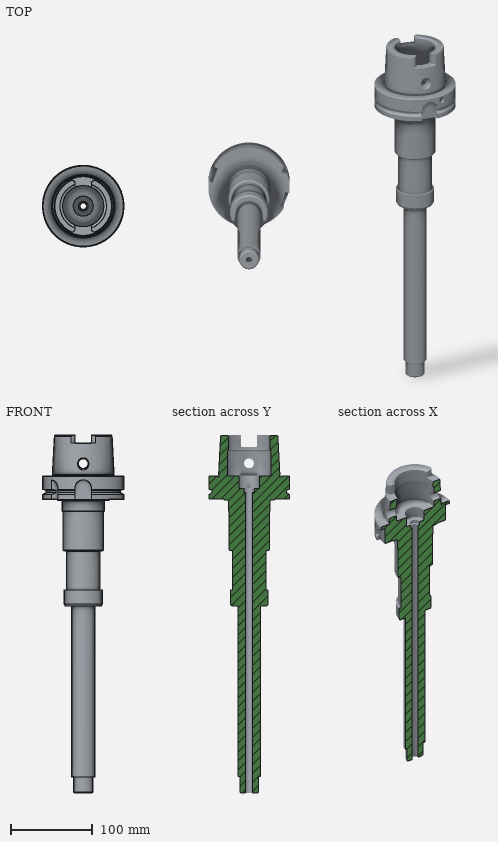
import cadquery as cq
import math


OVERALL_LENGTH = 439.5
TAPER_LENGTH = 50.0
BOTTOM_Z = TAPER_LENGTH - OVERALL_LENGTH

TAPER_BASE_RADIUS = 38.0
TAPER_RATE = 1 / 9.98
TAPER_TOP_RADIUS = TAPER_BASE_RADIUS - TAPER_LENGTH * TAPER_RATE / 2
TAPER_TOP_CHAMFER_HEIGHT = 1.7
TAPER_TOP_CHAMFER_WIDTH = 0.7
RELIEF_RADIUS = 39.0
RELIEF_DEPTH = 1.0
RELIEF_HEIGHT = 1.5
RELIEF_UNDERCUT = 0.8

FLANGE_RADIUS = 50.0
FLANGE_THICKNESS = 29.0
FLANGE_CHAMFER = 0.8
GROOVE_TOP_Z = -16.5
GROOVE_FLOOR_TOP_Z = -17.8
GROOVE_FLOOR_BOTTOM_Z = -20.6
GROOVE_BOTTOM_Z = -23.2
GROOVE_DEPTH = 4.2

HUB_RADIUS = 31.5
HUB_END_Z = -30.0
NECK_RADIUS = 26.0
NECK_END_Z = -43.9
NECK_CHAMFER = 0.8
SHOULDER_BEVEL = 1.0
BODY_RADIUS = 25.0
BODY_END_Z = -92.0
BODY_CHAMFER = 1.2
WAIST_RADIUS = 20.7
COLLAR_RADIUS = 23.4
COLLAR_START_Z = -140.0
COLLAR_END_Z = -160.0
COLLAR_CHAMFER_HEIGHT = 2.7
COLLAR_CHAMFER_WIDTH = 1.5
SHAFT_RADIUS = 14.25
PILOT_RADIUS = 11.9
PILOT_LENGTH = 20.0
PILOT_CHAMFER = 1.5
SHAFT_END_Z = BOTTOM_Z + PILOT_LENGTH

BORE_RADIUS = 25.25
BORE_MOUTH_RADIUS = 28.5
BORE_MOUTH_HEIGHT = 1.3
CLAMP_RADIUS = 26.5
CLAMP_SHOULDER_Z = 31.5
CLAMP_SHOULDER_ANGLE = 60.0
BORE_FLOOR_Z = 0.0
TUBE_SEAT_RADIUS = 12.35
TUBE_SEAT_DEPTH = 15.0
COOLANT_RADIUS = 4.0
COOLANT_ENTRY_RADIUS = 6.0
COOLANT_ENTRY_DEPTH = 5.0

DRIVE_SLOT_WIDTH = 20.0
FRONT_DRIVE_SLOT_DEPTH = 10.0
REAR_DRIVE_SLOT_DEPTH = 15.0
DRIVE_SLOT_FLARE = 5.0
DRIVE_SLOT_FLOOR_FILLET = 1.5

CROSS_HOLE_RADIUS = 6.0
CROSS_HOLE_Z = 15.0
CROSS_HOLE_CHAMFER = 1.5

RIM_SLOT_WIDTH = 20.0
RIM_SLOT_TOP_Z = -5.0
RIM_SLOT_FLOOR = 44.0
CORNER_SLOT_X = -41.0
CORNER_SLOT_FLOOR = 31.3

RIM_HOLE_RADIUS = 4.0
RIM_HOLE_Z = -6.0
RIM_HOLE_DEPTH = 5.0
RIM_HOLE_ANGLE = 110.0


def revolve_profile(points):
    """Turn an (r, z) outline around the Z axis."""
    return cq.Workplane("XZ").polyline(points).close().revolve(360, (0, 0, 0), (0, 1, 0))


def make_turned_body():
    relief_radius = TAPER_BASE_RADIUS - RELIEF_UNDERCUT
    relief_top_radius = TAPER_BASE_RADIUS - RELIEF_HEIGHT * TAPER_RATE / 2
    groove_radius = FLANGE_RADIUS - GROOVE_DEPTH
    points = [
        (0, TAPER_LENGTH),
        (TAPER_TOP_RADIUS - TAPER_TOP_CHAMFER_WIDTH, TAPER_LENGTH),
        (TAPER_TOP_RADIUS, TAPER_LENGTH - TAPER_TOP_CHAMFER_HEIGHT),
        (relief_top_radius, RELIEF_HEIGHT),
        (relief_radius, RELIEF_HEIGHT - RELIEF_UNDERCUT),
        (relief_radius, -RELIEF_DEPTH),
        (RELIEF_RADIUS, -RELIEF_DEPTH),
        (RELIEF_RADIUS, 0),
        (FLANGE_RADIUS - FLANGE_CHAMFER, 0),
        (FLANGE_RADIUS, -FLANGE_CHAMFER),
        (FLANGE_RADIUS, GROOVE_TOP_Z),
        (groove_radius, GROOVE_FLOOR_TOP_Z),
        (groove_radius, GROOVE_FLOOR_BOTTOM_Z),
        (FLANGE_RADIUS, GROOVE_BOTTOM_Z),
        (FLANGE_RADIUS, -FLANGE_THICKNESS),
        (HUB_RADIUS, -FLANGE_THICKNESS),
        (HUB_RADIUS, HUB_END_Z),
        (NECK_RADIUS + SHOULDER_BEVEL, HUB_END_Z),
        (NECK_RADIUS, HUB_END_Z - SHOULDER_BEVEL),
        (NECK_RADIUS, NECK_END_Z + NECK_CHAMFER),
        (NECK_RADIUS - NECK_CHAMFER, NECK_END_Z),
        (BODY_RADIUS, NECK_END_Z),
        (BODY_RADIUS, BODY_END_Z + BODY_CHAMFER),
        (BODY_RADIUS - BODY_CHAMFER, BODY_END_Z),
        (WAIST_RADIUS + SHOULDER_BEVEL, BODY_END_Z),
        (WAIST_RADIUS, BODY_END_Z - SHOULDER_BEVEL),
        (WAIST_RADIUS, COLLAR_START_Z),
        (COLLAR_RADIUS, COLLAR_START_Z),
        (COLLAR_RADIUS, COLLAR_END_Z + COLLAR_CHAMFER_HEIGHT),
        (COLLAR_RADIUS - COLLAR_CHAMFER_WIDTH, COLLAR_END_Z),
        (SHAFT_RADIUS, COLLAR_END_Z),
        (SHAFT_RADIUS, SHAFT_END_Z),
        (PILOT_RADIUS, SHAFT_END_Z),
        (PILOT_RADIUS, BOTTOM_Z + PILOT_CHAMFER),
        (PILOT_RADIUS - PILOT_CHAMFER, BOTTOM_Z),
        (0, BOTTOM_Z),
    ]
    return revolve_profile(points)


def make_bore():
    shoulder_height = (CLAMP_RADIUS - BORE_RADIUS) / math.tan(math.radians(CLAMP_SHOULDER_ANGLE))
    seat_z = BORE_FLOOR_Z - TUBE_SEAT_DEPTH
    entry_z = seat_z - COOLANT_ENTRY_DEPTH
    points = [
        (0, TAPER_LENGTH),
        (BORE_MOUTH_RADIUS, TAPER_LENGTH),
        (BORE_RADIUS, TAPER_LENGTH - BORE_MOUTH_HEIGHT),
        (BORE_RADIUS, CLAMP_SHOULDER_Z),
        (CLAMP_RADIUS, CLAMP_SHOULDER_Z - shoulder_height),
        (CLAMP_RADIUS, BORE_FLOOR_Z),
        (TUBE_SEAT_RADIUS, BORE_FLOOR_Z),
        (TUBE_SEAT_RADIUS, seat_z),
        (COOLANT_ENTRY_RADIUS, seat_z),
        (COOLANT_ENTRY_RADIUS, entry_z),
        (COOLANT_RADIUS, entry_z),
        (COOLANT_RADIUS, BOTTOM_Z),
        (0, BOTTOM_Z),
    ]
    return revolve_profile(points)


def make_drive_slot(side, depth):
    """Slot through the taper rim on the -Y (side = -1) or +Y (side = +1) wall, flared at the outside."""
    half_width = DRIVE_SLOT_WIDTH / 2
    flare = DRIVE_SLOT_FLARE
    outer_y = math.sqrt(TAPER_TOP_RADIUS**2 - (half_width + flare) ** 2)
    arc_y = outer_y - flare
    arc_offset = flare * (1 - math.sqrt(0.5))
    mid = (half_width + arc_offset, outer_y - arc_offset)
    slot = (
        cq.Workplane("XY", origin=(0, 0, TAPER_LENGTH - depth))
        .moveTo(-half_width, 0)
        .lineTo(half_width, 0)
        .lineTo(half_width, arc_y)
        .threePointArc(mid, (half_width + flare, outer_y))
        .lineTo(half_width + flare, FLANGE_RADIUS)
        .lineTo(-half_width - flare, FLANGE_RADIUS)
        .lineTo(-half_width - flare, outer_y)
        .threePointArc((-mid[0], mid[1]), (-half_width, arc_y))
        .close()
        .extrude(depth)
        .faces("<Z")
        .edges("|Y")
        .fillet(DRIVE_SLOT_FLOOR_FILLET)
    )
    return slot if side > 0 else slot.mirror("XZ")


def make_cross_hole():
    """Hole along Y, countersunk where it meets each side of the taper."""
    wall_y = TAPER_BASE_RADIUS - CROSS_HOLE_Z * TAPER_RATE / 2
    outer_radius = CROSS_HOLE_RADIUS + 2 * CROSS_HOLE_CHAMFER
    half_profile = [
        (0, 0),
        (CROSS_HOLE_RADIUS, 0),
        (CROSS_HOLE_RADIUS, wall_y - CROSS_HOLE_CHAMFER),
        (outer_radius, wall_y + CROSS_HOLE_CHAMFER),
        (0, wall_y + CROSS_HOLE_CHAMFER),
    ]
    rear = (
        cq.Workplane("XY", origin=(0, 0, CROSS_HOLE_Z))
        .polyline(half_profile)
        .close()
        .revolve(360, (0, 0, 0), (0, 1, 0))
    )
    return rear.union(rear.mirror("XZ"))


def make_rim_slot(center_x, floor_distance, side):
    """Round-topped slot open at the flange bottom; its flat floor is normal to Y."""
    radius = RIM_SLOT_WIDTH / 2
    arc_z = RIM_SLOT_TOP_Z - radius
    slot = (
        cq.Workplane("XZ", origin=(0, -floor_distance, 0))
        .moveTo(center_x - radius, -FLANGE_THICKNESS)
        .lineTo(center_x - radius, arc_z)
        .threePointArc((center_x, RIM_SLOT_TOP_Z), (center_x + radius, arc_z))
        .lineTo(center_x + radius, -FLANGE_THICKNESS)
        .close()
        .extrude(FLANGE_RADIUS)
    )
    return slot if side < 0 else slot.mirror("XZ")


def make_rim_hole():
    """Blind radial hole, drilled on the X axis and turned to its place on the rim."""
    hole = (
        cq.Workplane("YZ", origin=(FLANGE_RADIUS - RIM_HOLE_DEPTH, 0, RIM_HOLE_Z))
        .circle(RIM_HOLE_RADIUS)
        .extrude(2 * RIM_HOLE_DEPTH)
    )
    return hole.rotate((0, 0, 0), (0, 0, 1), RIM_HOLE_ANGLE)


result = (
    make_turned_body()
    .cut(make_bore())
    .cut(make_drive_slot(-1, FRONT_DRIVE_SLOT_DEPTH))
    .cut(make_drive_slot(1, REAR_DRIVE_SLOT_DEPTH))
    .cut(make_cross_hole())
    .cut(make_rim_slot(0, RIM_SLOT_FLOOR, -1))
    .cut(make_rim_slot(0, RIM_SLOT_FLOOR, 1))
    .cut(make_rim_slot(CORNER_SLOT_X, CORNER_SLOT_FLOOR, -1))
    .cut(make_rim_hole())
)